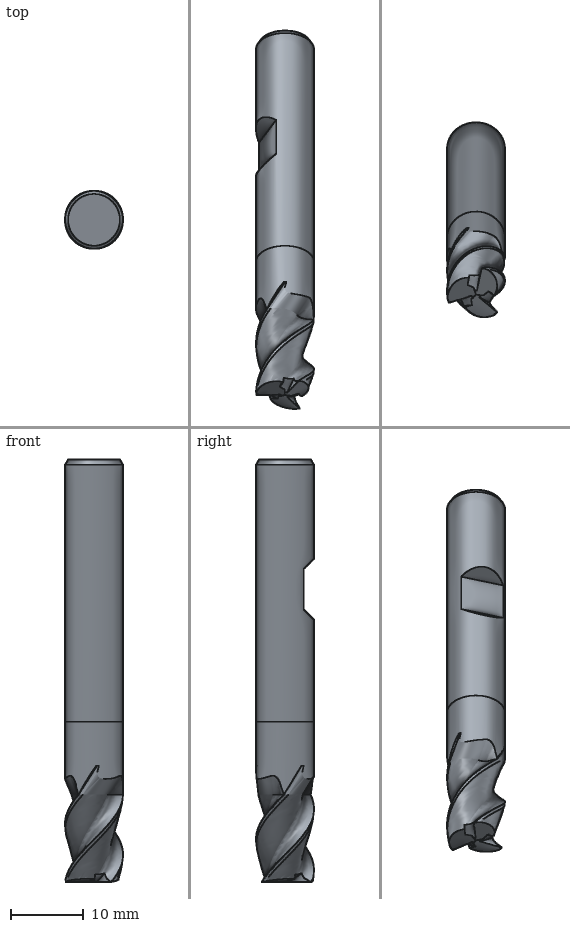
import cadquery as cq
import math

DIAMETER = 8.0
RADIUS = DIAMETER / 2
TOTAL_LENGTH = 58.0
CUTTER_LENGTH = 22.0

SHANK_CHAMFER_RADIAL = 0.45
SHANK_CHAMFER_AXIAL = 0.75
FLAT_DEPTH = 1.4
FLAT_LENGTH = 5.6
FLAT_CENTRE_Z = 40.2

FLUTE_COUNT = 3
TOOTH_PITCH = 360 / FLUTE_COUNT
HELIX_ANGLE = 45.0
HELIX_LEAD = math.pi * DIAMETER / math.tan(math.radians(HELIX_ANGLE))
FLUTED_LENGTH = 12.0
FIRST_EDGE_ANGLE = 66.0

MARGIN_END = (3.93, 9.0)
BACK_MIDDLE = (3.27, 43.0)
HEEL = (2.45, 82.0)
FLUTE_FLOOR = (2.4, 96.0)
RAKE_ROOT = (3.3, 115.0)

RUNOUT_LENGTH = 4.0
RUNOUT_SHIFT = 2.6
RUNOUT_DIRECTION = 112.0
CLEARANCE_RADIUS = 3 * RADIUS

END_RELIEF_ANGLE = 10.0
GASH_START_RADIUS = 0.6
GASH_HEIGHT = 2.2
GASH_WIDTH = 1.4
CORNER_CHAMFER_RADIAL = 0.1
CORNER_CHAMFER_AXIAL = 0.4


def helix_turn(z):
    """Angle in degrees through which the teeth have turned at height z."""
    return 360 * z / HELIX_LEAD


def polar(radius, angle):
    """Point at a radius and an angle in degrees."""
    return (radius * math.cos(math.radians(angle)), radius * math.sin(math.radians(angle)))


def trace_gap(outline, edge_angle):
    """Add the tooth back, flute and rake face that follow one cutting edge."""

    def place(spot):
        radius, angle = spot
        return polar(radius, edge_angle + angle)

    outline = outline.lineTo(*place(MARGIN_END))
    outline = outline.threePointArc(place(BACK_MIDDLE), place(HEEL))
    outline = outline.threePointArc(place(FLUTE_FLOOR), place(RAKE_ROOT))
    return outline.lineTo(*place((RADIUS, TOOTH_PITCH)))


def make_fluted_part():
    """Constant tooth section twisted along the helix."""
    section = cq.Workplane("XY").moveTo(*polar(RADIUS, FIRST_EDGE_ANGLE))
    for tooth in range(FLUTE_COUNT):
        section = trace_gap(section, FIRST_EDGE_ANGLE + tooth * TOOTH_PITCH)
    return section.close().twistExtrude(FLUTED_LENGTH, helix_turn(FLUTED_LENGTH))


def flute_section(edge_angle, shift, z):
    """Outline of the space behind one cutting edge, moved outwards by a shift."""
    shift_x, shift_y = polar(shift, edge_angle + RUNOUT_DIRECTION)
    outline = cq.Workplane("XY", origin=(shift_x, shift_y, z)).moveTo(*polar(RADIUS, edge_angle))
    outline = trace_gap(outline, edge_angle)
    outline = outline.lineTo(*polar(CLEARANCE_RADIUS, edge_angle + TOOTH_PITCH))
    outline = outline.lineTo(*polar(CLEARANCE_RADIUS, edge_angle))
    return outline.close().val()


def make_runout_cut(edge_angle):
    """Slanted solid that a flute removes from the neck as it runs out."""
    lower = flute_section(edge_angle, 0, FLUTED_LENGTH)
    upper = flute_section(edge_angle, RUNOUT_SHIFT, FLUTED_LENGTH + RUNOUT_LENGTH)
    return cq.Workplane(cq.Solid.makeLoft([lower, upper], True))


def make_neck():
    """Plain cylinder above the fluted part with the flute run-outs cut into it."""
    neck = cq.Workplane("XY", origin=(0, 0, FLUTED_LENGTH)).circle(RADIUS)
    neck = neck.extrude(CUTTER_LENGTH - FLUTED_LENGTH)
    for tooth in range(FLUTE_COUNT):
        edge_angle = FIRST_EDGE_ANGLE + helix_turn(FLUTED_LENGTH) + tooth * TOOTH_PITCH
        neck = neck.cut(make_runout_cut(edge_angle))
    return neck


def make_end_relief():
    """Wedge under a tooth end; the end face rises away from an edge lying along +X."""
    rise = DIAMETER * math.tan(math.radians(END_RELIEF_ANGLE))
    profile = [(0, 0), (DIAMETER, 0), (DIAMETER, rise)]
    return cq.Workplane("YZ").polyline(profile).close().extrude(DIAMETER)


def make_gash():
    """Notch in front of an edge lying along +X, deepening outwards."""
    profile = [(GASH_START_RADIUS, 0), (RADIUS, 0), (RADIUS, GASH_HEIGHT)]
    return cq.Workplane("XZ").polyline(profile).close().extrude(GASH_WIDTH)


def make_corner_envelope():
    """Cylinder with chamfered lower corner that trims the tooth tips."""
    profile = [
        (0, 0),
        (RADIUS - CORNER_CHAMFER_RADIAL, 0),
        (RADIUS, CORNER_CHAMFER_AXIAL),
        (RADIUS, CUTTER_LENGTH),
        (0, CUTTER_LENGTH),
    ]
    return cq.Workplane("XZ").polyline(profile).close().revolve(360, (0, 0), (0, 1))


def make_cutter():
    """Fluted cutting head with its plain neck up to the shank."""
    head = make_fluted_part()
    for tooth in range(FLUTE_COUNT):
        edge_angle = FIRST_EDGE_ANGLE + tooth * TOOTH_PITCH
        for cut in (make_end_relief(), make_gash()):
            head = head.cut(cut.rotate((0, 0, 0), (0, 0, 1), edge_angle))
    head = head.intersect(make_corner_envelope())
    return head.union(make_neck())


def make_shank():
    """Plain shank with a chamfered end and a clamping flat on the +Y side."""
    chamfer_z = TOTAL_LENGTH - SHANK_CHAMFER_AXIAL
    profile = [
        (0, CUTTER_LENGTH),
        (RADIUS, CUTTER_LENGTH),
        (RADIUS, chamfer_z),
        (RADIUS - SHANK_CHAMFER_RADIAL, TOTAL_LENGTH),
        (0, TOTAL_LENGTH),
    ]
    shank = cq.Workplane("XZ").polyline(profile).close().revolve(360, (0, 0), (0, 1))
    half_floor = FLAT_LENGTH / 2
    half_mouth = half_floor + FLAT_DEPTH
    floor_y = RADIUS - FLAT_DEPTH
    flat = (
        cq.Workplane("YZ")
        .moveTo(floor_y, FLAT_CENTRE_Z - half_floor)
        .lineTo(RADIUS, FLAT_CENTRE_Z - half_mouth)
        .lineTo(RADIUS, FLAT_CENTRE_Z + half_mouth)
        .lineTo(floor_y, FLAT_CENTRE_Z + half_floor)
        .close()
        .extrude(RADIUS, both=True)
    )
    return shank.cut(flat)


cutter = make_cutter()
shank = make_shank()

result = cq.Compound.makeCompound([cutter.val(), shank.val()])